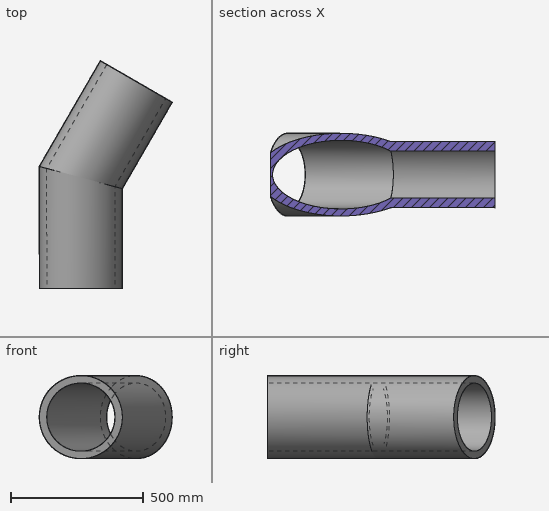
import cadquery as cq
import math

overall_length = 862.5
outer_diameter = 315.0
inner_diameter = 258.0
bend_angle = 30.0

bend = math.radians(bend_angle)
outer_radius = outer_diameter / 2
leg_length = (overall_length - outer_radius * math.sin(bend)) / (1 + math.cos(bend))

corner = cq.Vector(0, leg_length, 0)
mitre_normal = cq.Vector(math.sin(bend / 2), math.cos(bend / 2), 0)
mitre_rise = outer_radius * math.tan(bend / 2)


def straight_leg():
    """Pipe along +Y from the origin, trimmed at the mitre plane."""
    longest_side = leg_length + mitre_rise
    leg_outline = [
        (-outer_radius, 0),
        (outer_radius, 0),
        (outer_radius, leg_length - mitre_rise),
        (-outer_radius, longest_side),
    ]
    pipe = (
        cq.Workplane("XZ")
        .circle(outer_radius)
        .circle(inner_diameter / 2)
        .extrude(-longest_side)
    )
    mitred_block = cq.Workplane("XY").polyline(leg_outline).close().extrude(outer_radius, both=True)
    return pipe.intersect(mitred_block)


first_leg = straight_leg()
tilted_leg = first_leg.mirror(mitre_normal, corner)
result = first_leg.union(tilted_leg)